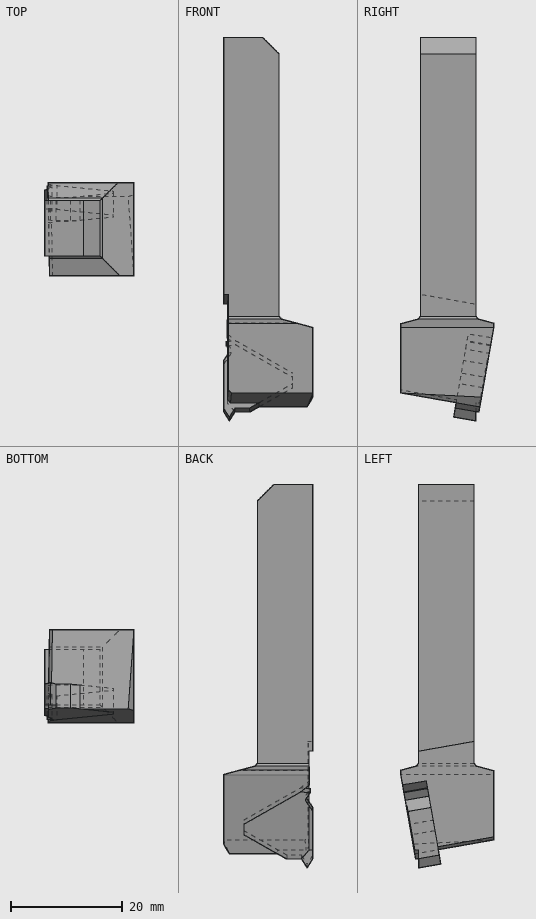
import cadquery as cq
import math

total_height = 69.0
shank_side = 10.0
shank_chamfer = 3.0

head_right = 16.1
head_front = -8.55
head_back = 8.2
neck_height = 18.8
neck_chamfer_width = 0.4
neck_chamfer_height = 0.5
roof_angle = 15.0
head_base = 2.6
corner_chamfer_width = 1.05
corner_chamfer_height = 1.8

relief_depth = 0.6
relief_angle = 1.0
relief_top = 20.7
relief_chamfer = 0.55

lean_angle = 10.0
back_plane_y = 5.25
tip_rake_y = 5.0
lean_drop = (back_plane_y - tip_rake_y) * math.tan(math.radians(lean_angle))
insert_thickness = 4.35

tip_x = 1.05
tip_height = 1.65
shoulder_end = 4.7
flat_top = 10.35
notch_x = 1.4
notch_height = 12.4
upper_tip_x = 0.5
upper_tip_height = 13.8
seat_corner_x = 2.2
seat_corner_height = 13.9
apex_x = 12.4
side_slope = math.tan(math.radians(30))
apex_bottom = tip_height + (apex_x - shoulder_end) * side_slope
apex_top = seat_corner_height - (apex_x - seat_corner_x) * side_slope
seat_top = 15.25

rake_width = 0.7
rake_depth = 0.17
tip_rake_height = 3.25

clear = 41.4


def lean(shape):
    """Move a shape from leaning coordinates to part coordinates."""
    return shape.rotate((0, 0, 0), (1, 0, 0), -lean_angle).translate((0, back_plane_y, -lean_drop))


def leaning_prism(points, front, back):
    """Extrude an XZ outline between two depths, then lean it."""
    prism = cq.Workplane("XZ", origin=(0, back, 0)).polyline(points).close().extrude(back - front)
    return lean(prism)


def make_shank():
    bar = cq.Workplane("XY").box(
        shank_side, shank_side, total_height - neck_height, centered=(False, True, False)
    )
    return bar.translate((0, 0, neck_height)).edges(">X and >Z").chamfer(shank_chamfer)


def make_corner_wedge():
    """Tetrahedron that chamfers the lower right edge, fading out at the front face."""
    angle = math.radians(lean_angle)
    front_depth = (head_front - back_plane_y - head_base * math.sin(angle)) / math.cos(angle)
    corner = cq.Vector(head_right, 0, head_base)
    along_base = cq.Vector(head_right - corner_chamfer_width, 0, head_base)
    up_side = cq.Vector(head_right, 0, head_base + corner_chamfer_height)
    front = cq.Vector(head_right, front_depth, head_base)
    triangles = [
        (corner, along_base, up_side),
        (corner, along_base, front),
        (corner, up_side, front),
        (along_base, up_side, front),
    ]
    faces = [cq.Face.makeFromWires(cq.Wire.makePolygon(points, close=True)) for points in triangles]
    wedge = cq.Solid.makeSolid(cq.Shell.makeShell(faces))
    return lean(cq.Workplane(obj=wedge))


def make_head():
    slope = math.tan(math.radians(roof_angle))
    half_side = shank_side / 2
    shelf = neck_height - neck_chamfer_height
    front_shelf = -half_side - neck_chamfer_width
    right_shelf = shank_side + neck_chamfer_width

    side_to_side = [
        (0, 0),
        (0, neck_height),
        (shank_side, neck_height),
        (right_shelf, shelf),
        (head_right, shelf - slope * (head_right - right_shelf)),
        (head_right, 0),
    ]
    front_to_back = [
        (head_front, 0),
        (head_front, shelf - slope * (front_shelf - head_front)),
        (front_shelf, shelf),
        (-half_side, neck_height),
        (half_side, neck_height),
        (-front_shelf, shelf),
        (head_back, shelf - slope * (head_back + front_shelf)),
        (head_back, 0),
    ]
    block = cq.Workplane("XZ").polyline(side_to_side).close().extrude(clear, both=True)
    roof = cq.Workplane("YZ").polyline(front_to_back).close().extrude(clear)

    envelope = leaning_prism(
        [
            (0, head_base),
            (head_right, head_base),
            (head_right, clear),
            (0, clear),
        ],
        -clear,
        0,
    )
    return block.intersect(roof).intersect(envelope).cut(make_corner_wedge())


def make_relief_cutter():
    """Block that relieves the left face and chamfers its lower edge."""
    outline = [
        (-clear, -clear),
        (relief_depth + relief_chamfer, -clear),
        (relief_depth + relief_chamfer, head_base),
        (relief_depth, head_base + relief_chamfer),
        (relief_depth, relief_top),
        (-clear, relief_top),
    ]
    cutter = cq.Workplane("XZ", origin=(0, clear, 0)).polyline(outline).close().extrude(2 * clear)
    pivot = (relief_depth, 0, 0)
    axis_end = (relief_depth, 0, 1)
    return lean(cutter.rotate(pivot, axis_end, relief_angle))


def make_pocket():
    """Insert seat, open to the left, the base and the back."""
    outline = [
        (-clear, seat_top),
        (relief_depth, seat_top),
        (seat_corner_x, seat_corner_height),
        (apex_x, apex_top),
        (apex_x, apex_bottom),
        (shoulder_end, tip_height),
        (shoulder_end, -clear),
        (-clear, -clear),
    ]
    return leaning_prism(outline, -insert_thickness, clear)


def make_insert():
    outline = [
        (0, tip_height),
        (tip_x, 0),
        (2 * tip_x, tip_height),
        (shoulder_end, tip_height),
        (apex_x, apex_bottom),
        (apex_x, apex_top),
        (seat_corner_x, seat_corner_height),
        (upper_tip_x, upper_tip_height),
        (notch_x, notch_height),
        (0, flat_top),
    ]
    body = leaning_prism(outline, -insert_thickness, 0)

    edge_rake = leaning_prism(
        [(0, 0), (rake_width, 0), (rake_width, notch_height), (0, notch_height)], -rake_depth, clear
    )
    tip_rake_outline = [
        (0, -tip_height),
        (2 * tip_x, -tip_height),
        (2 * tip_x, tip_height),
        (rake_width, tip_rake_height),
        (0, tip_rake_height),
    ]
    tip_rake = cq.Workplane("XZ", origin=(0, tip_rake_y, 0)).polyline(tip_rake_outline).close()
    tip_rake = tip_rake.extrude(-clear)
    return body.cut(edge_rake).cut(tip_rake)


holder = make_shank().union(make_head()).cut(make_relief_cutter()).cut(make_pocket())
insert = make_insert()

result = cq.Compound.makeCompound([holder.val(), insert.val()])